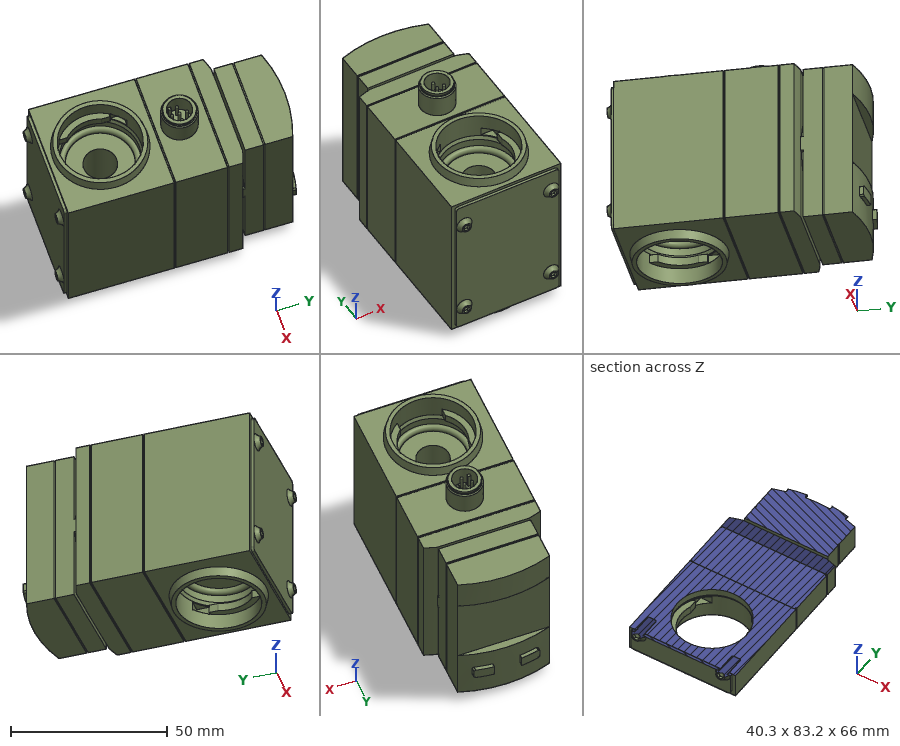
import cadquery as cq
import math

block_width = 40.3
block_height = 54.0
top_z = block_height / 2
joint_gap = 0.5
joint_step = 0.4

port_block_length = 35.6
port_y = 17.4
port_collar_height = 3.0
port_collar_base_dia = 31.7
port_collar_rim_dia = 30.3
port_top_z = top_z + port_collar_height
port_mouth_dia = 27.4
port_seat_dia = 26.1
seal_bead_inner_dia = 22.2
seal_bead_radius = 1.2
seal_bead_depth = 13.3
flow_hole_dia = 11.0
ledge_inner_dia = 23.0
ledge_depth = 5.4
ledge_bottom_depth = 8.2
seat_depth = 8.6
seat_taper_height = 1.1
floor_depth = 14.0
clip_slot_width = 23.6
clip_slot_reach = 11.5
ledge_entry_width = 21.6
ledge_end_y = 7.0
ledge_gap_width = 15.4

cover_width = 37.8
cover_height = 52.0
cover_thickness = 1.0
cover_corner_radius = 1.1
screw_pitch_x = 32.0
screw_pitch_z = 36.0
screw_head_dia = 5.65
screw_tip_dia = 3.3
screw_head_height = 1.65
screw_socket_corners = 2.46
screw_socket_depth = 0.9
screw_socket_cone_dia = 2.1
screw_socket_cone_depth = 0.6
screw_shank_dia = 3.0
screw_shank_length = 8.0

middle_block_start = port_block_length + joint_gap
middle_block_length = 17.4
connector_y = 44.0
connector_dia = 12.0
connector_height = 9.0
connector_body_height = 7.9
connector_chamfer = 0.4
connector_neck_dia = 10.4
connector_rim_dia = 10.8
socket_dia = 8.3
socket_depth = 7.0
pin_dia = 1.0
pin_tip_depth = 2.2
pin_tip_round = 0.4
pin_offset = 2.5
key_offset = 2.0
key_size = 1.0

crown_start = middle_block_start + middle_block_length + joint_gap
crown_edge_y = crown_start + 4.6
crown_face_y = crown_start + 5.95
crown_radius = 60.0

adapter_width = 31.7
adapter_start = 60.8
adapter_length = 16.0
adapter_end = adapter_start + adapter_length
adapter_crown_radius = 48.0
adapter_groove_y = adapter_start + 6.2
adapter_groove_depth = 0.2
spigot_dia = 29.8
spigot_tab_height = 5.0
recess_height = 24.9
recess_bottom_z = -8.6
lug_inner_x = 4.7
lug_outer_x = 11.35
lug_height = 3.7
lug_z = -16.9
lug_thickness = 1.31
lug_chamfer_x = 0.6
lug_chamfer_z = 0.45


def arc_sag(radius, chord):
    """Height of an arc of the given radius above its chord."""
    return radius - math.sqrt(radius**2 - (chord / 2) ** 2)


def block(width, height, start_y, length):
    """Box centred on X and Z that runs from start_y towards +Y."""
    return cq.Workplane("XY").box(width, length, height).translate((0, start_y + length / 2, 0))


def screw_positions():
    """Screw axes as (x, z)."""
    half_x = screw_pitch_x / 2
    half_z = screw_pitch_z / 2
    return [(x, z) for x in (-half_x, half_x) for z in (-half_z, half_z)]


def facing_back(start_y):
    """XZ sketch plane whose extrusions run towards +Y; its first axis is -X."""
    return cq.Workplane(cq.Plane(origin=(0, start_y, 0), xDir=(-1, 0, 0), normal=(0, 1, 0)))


def port_disc(diameter, depth_from, depth_to):
    """Disc on the port axis between two depths below the rim of the upper collar."""
    return (
        cq.Workplane("XY", origin=(0, port_y, port_top_z - depth_to))
        .circle(diameter / 2)
        .extrude(depth_to - depth_from)
    )


def port_slot(width, y_from, y_to):
    """Box as high as the port ledge, placed between two distances from the port axis."""
    height = ledge_bottom_depth - ledge_depth
    return cq.Workplane("XY").box(width, y_to - y_from, height).translate(
        (0, port_y + (y_from + y_to) / 2, port_top_z - ledge_depth - height / 2)
    )


def port_collar():
    return (
        cq.Workplane("XY", origin=(0, port_y, top_z))
        .circle(port_collar_base_dia / 2)
        .workplane(offset=port_collar_height)
        .circle(port_collar_rim_dia / 2)
        .loft()
    )


def port_ledge():
    """Bayonet ledge inside the port mouth, interrupted on its +Y and -Y sides."""
    mouth_radius = port_mouth_dia / 2
    ledge = port_disc(port_mouth_dia, ledge_depth, ledge_bottom_depth)
    ledge = ledge.cut(port_disc(ledge_inner_dia, ledge_depth, ledge_bottom_depth))
    ledge = ledge.cut(port_slot(ledge_entry_width, 0, mouth_radius))
    ledge = ledge.cut(port_slot(port_mouth_dia, ledge_end_y, mouth_radius))
    return ledge.cut(port_slot(ledge_gap_width, -mouth_radius, 0))


def port_cavity():
    """Tapered bore with a round bead above its floor and a clip slot that reaches past the bore wall."""
    seat_taper = (
        cq.Workplane("XY", origin=(0, port_y, port_top_z - seat_depth))
        .circle(port_mouth_dia / 2)
        .workplane(offset=-seat_taper_height)
        .circle(port_seat_dia / 2)
        .loft()
    )
    bead_centre_radius = seal_bead_inner_dia / 2 + seal_bead_radius
    seal_bead = (
        cq.Workplane("XZ", origin=(0, port_y, 0))
        .center(bead_centre_radius, port_top_z - seal_bead_depth)
        .circle(seal_bead_radius)
        .revolve(360, (-bead_centre_radius, 0, 0), (-bead_centre_radius, 1, 0))
    )
    cavity = port_disc(port_mouth_dia, 0, seat_depth)
    cavity = cavity.union(seat_taper)
    cavity = cavity.union(port_disc(port_seat_dia, seat_depth, floor_depth))
    cavity = cavity.union(port_slot(clip_slot_width, ledge_end_y, clip_slot_reach))
    return cavity.cut(port_ledge()).cut(seal_bead)


def make_port_block():
    collar = port_collar()
    cavity = port_cavity()
    body = block(block_width, block_height, 0, port_block_length)
    body = body.union(collar).union(collar.mirror("XY"))
    body = body.cut(cavity).cut(cavity.mirror("XY"))
    body = body.cut(port_disc(flow_hole_dia, 0, 2 * port_top_z))
    shank_depth = screw_shank_length - cover_thickness
    for x, z in screw_positions():
        body = body.cut(facing_back(0).center(-x, z).circle(screw_shank_dia / 2).extrude(shank_depth))
    return body


def make_cover():
    cover = block(cover_width, cover_height, -cover_thickness, cover_thickness)
    cover = cover.edges("|Y").fillet(cover_corner_radius)
    for x, z in screw_positions():
        hole = facing_back(-cover_thickness).center(-x, z).circle(screw_shank_dia / 2)
        cover = cover.cut(hole.extrude(cover_thickness))
    return cover


def make_screw(x, z):
    """Button-head hexagon socket screw seated on the cover."""
    head_radius = screw_head_dia / 2
    tip_radius = screw_tip_dia / 2
    centre_offset = (head_radius**2 - tip_radius**2 - screw_head_height**2) / (2 * screw_head_height)
    dome_radius = math.hypot(head_radius, centre_offset)
    profile = (
        cq.Workplane("XY")
        .moveTo(0, -screw_head_height)
        .lineTo(tip_radius, -screw_head_height)
        .radiusArc((head_radius, 0), dome_radius)
        .lineTo(screw_shank_dia / 2, 0)
        .lineTo(screw_shank_dia / 2, screw_shank_length)
        .lineTo(0, screw_shank_length)
        .close()
    )
    screw = profile.revolve(360, (0, 0, 0), (0, 1, 0))
    socket = facing_back(-screw_head_height).polygon(6, screw_socket_corners).extrude(screw_socket_depth)
    cone_base_y = screw_socket_depth - screw_head_height
    cone = cq.Solid.makeCone(
        screw_socket_cone_dia / 2,
        0,
        screw_socket_cone_depth,
        pnt=cq.Vector(0, cone_base_y, 0),
        dir=cq.Vector(0, 1, 0),
    )
    return screw.cut(socket).cut(cq.Workplane(cone)).translate((x, -cover_thickness, z))


def make_middle_block():
    """Block with a reduced land at each end that leaves the joint grooves open."""
    land_width = block_width - 2 * joint_step
    land_height = block_height - 2 * joint_step
    land_start = middle_block_start - joint_gap
    land_length = middle_block_length + 2 * joint_gap
    body = block(block_width, block_height, middle_block_start, middle_block_length)
    return body.union(block(land_width, land_height, land_start, land_length))


def make_connector():
    """Five-pin male connector standing on top of the middle block."""
    socket_floor_z = connector_height - socket_depth
    pin_length = socket_depth - pin_tip_depth
    body = cq.Workplane("XY").circle(connector_dia / 2).extrude(connector_body_height)
    body = body.faces(">Z").chamfer(connector_chamfer)
    flared_neck = (
        cq.Workplane("XY", origin=(0, 0, connector_body_height))
        .circle(connector_neck_dia / 2)
        .workplane(offset=connector_height - connector_body_height)
        .circle(connector_rim_dia / 2)
        .loft()
    )
    body = body.union(flared_neck)
    socket = cq.Workplane("XY", origin=(0, 0, socket_floor_z)).circle(socket_dia / 2).extrude(socket_depth)
    body = body.cut(socket)
    pin_axes = [(0, 0), (pin_offset, 0), (-pin_offset, 0), (0, pin_offset), (0, -pin_offset)]
    pins = cq.Workplane("XY", origin=(0, 0, socket_floor_z)).pushPoints(pin_axes)
    pins = pins.circle(pin_dia / 2).extrude(pin_length).faces(">Z").edges().fillet(pin_tip_round)
    key_centre = -key_offset - key_size / 2
    key = cq.Workplane("XY", origin=(key_centre, key_centre, socket_floor_z))
    key = key.rect(key_size, key_size).extrude(pin_length).intersect(socket)
    return body.union(pins).union(key).translate((0, connector_y, top_z))


def arched_prism(width, front_y, edge_y, radius):
    """Prism as high as the blocks, with a flat front and a rear face arched across X."""
    crest_y = edge_y + arc_sag(radius, width)
    return (
        cq.Workplane("XY", origin=(0, 0, -top_z))
        .moveTo(-width / 2, front_y)
        .lineTo(-width / 2, edge_y)
        .threePointArc((0, crest_y), (width / 2, edge_y))
        .lineTo(width / 2, front_y)
        .close()
        .extrude(block_height)
    )


def make_crown_block():
    """Block whose rear face has arched flanks that end in a flat middle."""
    body = arched_prism(block_width, crown_start, crown_edge_y, crown_radius)
    return body.intersect(block(block_width, block_height, crown_start, crown_face_y - crown_start))


def adapter_lugs():
    """Pair of lugs raised from the lower arched rear face, with bevelled outer ends."""
    lug_radius = adapter_crown_radius + lug_thickness
    arc_centre_y = adapter_end + arc_sag(adapter_crown_radius, adapter_width) - adapter_crown_radius
    lug_disc = cq.Workplane("XY", origin=(0, arc_centre_y, lug_z - lug_height / 2))
    lug_disc = lug_disc.circle(lug_radius).extrude(lug_height)
    half_height = lug_height / 2
    end_half_height = half_height - lug_chamfer_z
    bevel_x = lug_outer_x - lug_chamfer_x
    lug_prism = (
        facing_back(adapter_end)
        .center(0, lug_z)
        .polyline(
            [
                (lug_inner_x, -half_height),
                (bevel_x, -half_height),
                (lug_outer_x, -end_half_height),
                (lug_outer_x, end_half_height),
                (bevel_x, half_height),
                (lug_inner_x, half_height),
            ]
        )
        .close()
        .extrude(adapter_length)
    )
    lug = lug_prism.intersect(lug_disc)
    return lug.union(lug.mirror("YZ"))


def make_adapter():
    """Rear adapter with a round spigot in front and an arched, recessed rear face."""
    body = arched_prism(adapter_width, adapter_start, adapter_end, adapter_crown_radius)
    groove = block(block_width, block_height, adapter_groove_y, joint_gap)
    core = block(
        adapter_width - 2 * adapter_groove_depth,
        block_height - 2 * adapter_groove_depth,
        adapter_groove_y,
        joint_gap,
    )
    body = body.cut(groove.cut(core))
    recess = block(adapter_width, recess_height, adapter_end, adapter_length)
    body = body.cut(recess.translate((0, 0, recess_bottom_z + recess_height / 2)))
    spigot_length = adapter_start - crown_face_y
    body = body.union(facing_back(crown_face_y).circle(spigot_dia / 2).extrude(spigot_length))
    body = body.union(block(adapter_width, spigot_tab_height, crown_face_y, spigot_length))
    return body.union(adapter_lugs())


port_block = make_port_block()
cover = make_cover()
screws = [make_screw(x, z) for x, z in screw_positions()]
middle_block = make_middle_block()
connector = make_connector()
crown_block = make_crown_block()
adapter = make_adapter()

result = cq.Compound.makeCompound(
    [
        port_block.val(),
        cover.val(),
        *[screw.val() for screw in screws],
        middle_block.val(),
        connector.val(),
        crown_block.val(),
        adapter.val(),
    ]
)